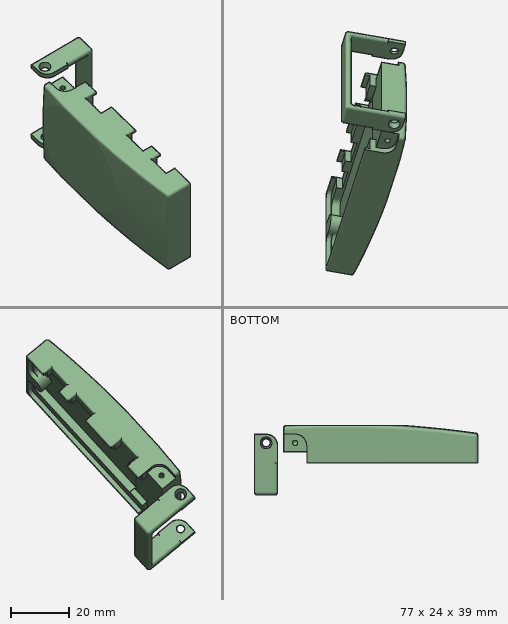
import cadquery as cq
import math

TOTAL_LENGTH = 77.0
TOTAL_HEIGHT = 39.0
EDGE_RADIUS = 1.0
OVERLAP = 0.8

HINGE_WIDTH = 8.0
HINGE_BASE_Y = 3.0
HINGE_RADIUS = HINGE_WIDTH / 2
HINGE_HOLE_X = HINGE_WIDTH / 2
HINGE_HOLE_Y = 2 * HINGE_BASE_Y
HINGE_TAB_BACK_Y = 9.1

BRACKET_BACK_Y = 24.0
BRACKET_THICKNESS = 2.1
BRACKET_HOLE_DIAMETER = 2.7
COUNTERSINK_DIAMETER = 4.0

HOUSING_LEFT_X = 10.0
HOUSING_BACK_Y = 13.0
BACK_RADIUS = 0.5
BODY_LEFT_X = HOUSING_LEFT_X + HINGE_WIDTH
PIVOT_DIAMETER = 1.8
PIVOT_DEPTH = 3.0
DRILL_POINT_ANGLE = 118.0

DOME_RADIUS = 315.7
FLAT_RADIUS = 20.7
FLAT_CENTER_X = 30.95
AXIS_Z = 19.1

RIM_WALL = 1.0
RECESS_FLOOR_Y = 11.3
RECESS_RIGHT_X = TOTAL_LENGTH - RIM_WALL
POCKET_FLOOR_Y = 8.4
POCKET_INSET_Z = 5.6
POCKET_LEFT_X = 23.8
POCKET_RADIUS = 2.0
POCKET_RIGHT_X = TOTAL_LENGTH - POCKET_RADIUS
MOUTH_INSET_Z = 6.0
BOSS_RADIUS = 3.5
BOSS_BLEND_RADIUS = 2.0
BOSS_X = 72.4

NOTCHES = [(24.0, 32.4, POCKET_FLOOR_Y), (46.0, 54.9, 9.25), (59.9, 67.8, 9.25)]


def block(x_range, y_range, z_range):
    """Axis-aligned box between the given limits."""
    (x0, x1), (y0, y1), (z0, z1) = x_range, y_range, z_range
    return cq.Workplane("XY").box(x1 - x0, y1 - y0, z1 - z0, centered=False).translate((x0, y0, z0))


def hinge_outline(left_x, back_y):
    """Arm shape in plan, with the front right corner rounded about the hinge."""
    right_x = left_x + HINGE_WIDTH
    return (
        cq.Workplane("XY")
        .moveTo(left_x, HINGE_BASE_Y)
        .lineTo(right_x - HINGE_RADIUS, HINGE_BASE_Y)
        .radiusArc((right_x, HINGE_BASE_Y + HINGE_RADIUS), -HINGE_RADIUS)
        .lineTo(right_x, back_y)
        .lineTo(left_x, back_y)
        .close()
    )


def cut_both_ends(body, upper_tool):
    """Cut a tool at the upper end of a body and its mirror image at the lower end."""
    lower_tool = upper_tool.mirror("XY").translate((0, 0, TOTAL_HEIGHT))
    return body.cut(upper_tool).cut(lower_tool)


def rounded_yoke():
    """U-shaped yoke with every edge rounded except at the open ends of its arms."""
    inner_back_y = BRACKET_BACK_Y - BRACKET_THICKNESS
    inner_z = (BRACKET_THICKNESS, TOTAL_HEIGHT - BRACKET_THICKNESS)
    opening = block((-OVERLAP, HINGE_WIDTH + OVERLAP), (0, inner_back_y), inner_z)
    opening = opening.edges("|X and >Y").fillet(EDGE_RADIUS)
    yoke = block((0, HINGE_WIDTH), (HINGE_BASE_Y, BRACKET_BACK_Y), (0, TOTAL_HEIGHT)).cut(opening)
    return yoke.edges("(<X or >X or (|X and >Y)) and (not <Y)").fillet(EDGE_RADIUS)


def square_arm_ends(yoke):
    """Square the arm edges that lie against the housing and round the arm ends about the hinge."""
    seat_half = block((HINGE_WIDTH / 2, HINGE_WIDTH), (HINGE_BASE_Y, HOUSING_BACK_Y), (0, BRACKET_THICKNESS))
    inner_half = block((0, HINGE_WIDTH), (HINGE_BASE_Y, HINGE_TAB_BACK_Y), (EDGE_RADIUS, BRACKET_THICKNESS))
    lower_arm = seat_half.union(inner_half)
    upper_arm = lower_arm.mirror("XY").translate((0, 0, TOTAL_HEIGHT))
    outline = hinge_outline(0, BRACKET_BACK_Y).extrude(TOTAL_HEIGHT)
    return yoke.union(lower_arm).union(upper_arm).intersect(outline)


def taper_hole():
    """Screw hole of the upper arm, tapering evenly from the outside to the inside."""
    return (
        cq.Workplane("XY", origin=(HINGE_HOLE_X, HINGE_HOLE_Y, TOTAL_HEIGHT))
        .circle(COUNTERSINK_DIAMETER / 2)
        .workplane(offset=-BRACKET_THICKNESS)
        .circle(BRACKET_HOLE_DIAMETER / 2)
        .loft()
    )


def make_bracket():
    bracket = square_arm_ends(rounded_yoke())
    return cut_both_ends(bracket, taper_hole())


def domed_block():
    """Block with a rounded, shallow spherical front that is flattened by a round face."""
    dome_center_y = math.sqrt(DOME_RADIUS**2 - FLAT_RADIUS**2)
    dome = cq.Workplane("XY").sphere(DOME_RADIUS).translate((FLAT_CENTER_X, dome_center_y, AXIS_Z))
    x_range = (HOUSING_LEFT_X, TOTAL_LENGTH)
    z_range = (0, TOTAL_HEIGHT)
    body = block(x_range, (0, HOUSING_BACK_Y), z_range).intersect(dome)
    return body.edges("not (>Y or (<Y and %CIRCLE))").fillet(EDGE_RADIUS)


def hinge_cut():
    """Space beside and behind the hinge tab, which frees the bracket arms."""
    seat = hinge_outline(HOUSING_LEFT_X, HOUSING_BACK_Y).extrude(TOTAL_HEIGHT)
    tab_z = (BRACKET_THICKNESS, TOTAL_HEIGHT - BRACKET_THICKNESS)
    tab = block((HOUSING_LEFT_X, BODY_LEFT_X), (0, HINGE_TAB_BACK_Y), tab_z)
    return seat.cut(tab)


def inner_boss(wall_x, floor_y):
    """Half-round boss on an inner +X wall, blended into it on both sides."""
    blend_x = wall_x - BOSS_BLEND_RADIUS
    blend_z = BOSS_RADIUS + BOSS_BLEND_RADIUS
    outline = (
        cq.Workplane("XZ", origin=(0, HOUSING_BACK_Y, AXIS_Z))
        .moveTo(BOSS_X, -BOSS_RADIUS)
        .threePointArc((BOSS_X - BOSS_RADIUS, 0), (BOSS_X, BOSS_RADIUS))
        .lineTo(blend_x, BOSS_RADIUS)
        .radiusArc((wall_x, blend_z), -BOSS_BLEND_RADIUS)
        .lineTo(wall_x, -blend_z)
        .radiusArc((blend_x, -BOSS_RADIUS), -BOSS_BLEND_RADIUS)
        .close()
    )
    return outline.extrude(HOUSING_BACK_Y - floor_y)


def pocket(left_x, right_x, floor_y, inset_z):
    """Rounded pocket, open to the back, with the boss on its +X wall."""
    cavity = block((left_x, right_x), (floor_y, HOUSING_BACK_Y), (inset_z, TOTAL_HEIGHT - inset_z))
    return cavity.edges("|Y").fillet(POCKET_RADIUS).cut(inner_boss(right_x, floor_y))


def back_cavity():
    """Shallow recess, deeper pocket below its floor, and the mouth of the pocket towards the hinge."""
    recess = pocket(HOUSING_LEFT_X, RECESS_RIGHT_X, RECESS_FLOOR_Y, RIM_WALL)
    deep_pocket = pocket(POCKET_LEFT_X, POCKET_RIGHT_X, POCKET_FLOOR_Y, POCKET_INSET_Z)
    mouth = block(
        (BODY_LEFT_X, POCKET_LEFT_X + POCKET_RADIUS),
        (HINGE_TAB_BACK_Y, HOUSING_BACK_Y),
        (MOUTH_INSET_Z, TOTAL_HEIGHT - MOUTH_INSET_Z),
    )
    return recess.union(deep_pocket).union(mouth)


def notch(left_x, right_x, floor_y):
    """Cut-out through the top wall into the pocket."""
    return block(
        (left_x, right_x), (floor_y, HOUSING_BACK_Y), (TOTAL_HEIGHT - POCKET_INSET_Z, TOTAL_HEIGHT)
    )


def round_top_rim(housing):
    """Round the top edge along the back and around the notches."""
    rim = cq.selectors.BoxSelector(
        (BODY_LEFT_X + BACK_RADIUS, POCKET_FLOOR_Y - BACK_RADIUS, TOTAL_HEIGHT - BACK_RADIUS),
        (TOTAL_LENGTH, HOUSING_BACK_Y + BACK_RADIUS, TOTAL_HEIGHT + BACK_RADIUS),
    )
    return housing.faces(">Z").edges("|X or |Y").edges(rim).fillet(BACK_RADIUS)


def pivot_hole():
    """Drilled blind pivot hole in the upper face of the hinge tab, with a conical end."""
    radius = PIVOT_DIAMETER / 2
    point_depth = radius / math.tan(math.radians(DRILL_POINT_ANGLE / 2))
    tab_top_z = TOTAL_HEIGHT - BRACKET_THICKNESS
    return (
        cq.Workplane("XZ", origin=(HOUSING_LEFT_X + HINGE_HOLE_X, HINGE_HOLE_Y, tab_top_z))
        .lineTo(radius, 0)
        .lineTo(radius, -PIVOT_DEPTH)
        .lineTo(0, -PIVOT_DEPTH - point_depth)
        .close()
        .revolve(360, (0, 0, 0), (0, 1, 0))
    )


def make_housing():
    housing = domed_block().cut(hinge_cut()).cut(back_cavity())
    for left_x, right_x, floor_y in NOTCHES:
        housing = housing.cut(notch(left_x, right_x, floor_y))
    housing = round_top_rim(housing)
    return cut_both_ends(housing, pivot_hole())


bracket = make_bracket()
housing = make_housing()
result = cq.Compound.makeCompound([bracket.val(), housing.val()])